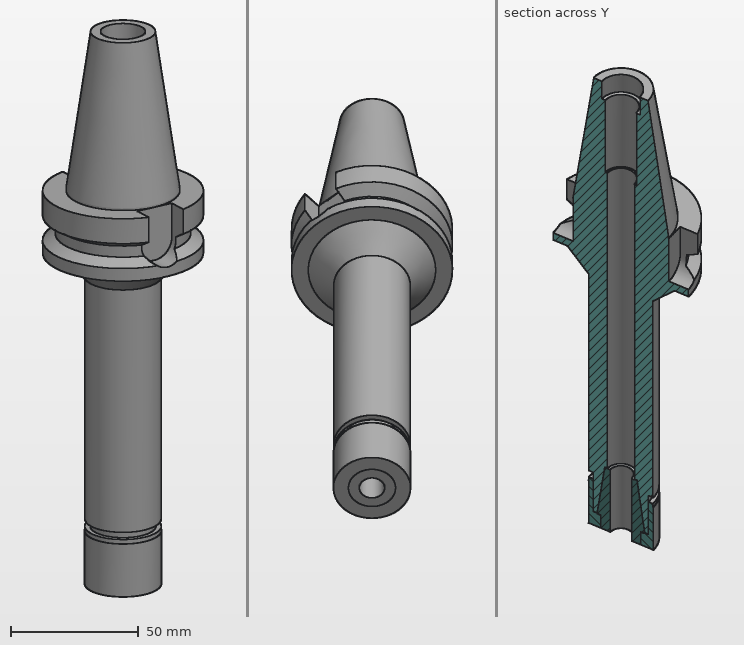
import cadquery as cq
import math

overall_length = 230.5
taper_length = 65.5
flange_gap = 1.0
flange_top = overall_length - taper_length - flange_gap
flange_bottom = 138.0
upper_rim_bottom = 153.7
lower_rim_top = 143.3
shoulder_bottom = 128.0
shank_bottom = 27.0
nut_top = 24.0

gauge_radius = 44.5 / 2
taper_ratio = 7 / 24
small_end_radius = gauge_radius - taper_length * taper_ratio / 2
flange_radius = 63.0 / 2
groove_radius = 26.5
shank_radius = 15.0
shoulder_radius = shank_radius + flange_bottom - shoulder_bottom
nose_radius = 13.0

groove_angle = 30.0
flank_height = (flange_radius - groove_radius) * math.tan(math.radians(groove_angle))

slot_width = 16.1
slot_floor_offset = 22.3
slot_center_height = 150.0

counterbore_radius = 8.8
counterbore_depth = 9.0
thread_radius = 7.1
thread_bottom = 184.3
passage_radius = 6.2

nut_radius = 30.2 / 2
nut_collar_radius = 15.0
nut_collar_height = 1.8
nose_bottom = 7.0

collet_top = 32.3
collet_top_radius = 7.4
collet_angle = 8.0
collet_seat_height = collet_top - nose_bottom
collet_wide_radius = collet_top_radius + collet_seat_height * math.tan(math.radians(collet_angle))
collet_front_radius = 9.2
collet_bore_radius = 10.0 / 2


def revolve_profile(points):
    """Turn an outline of (radius, height) points about the Z axis."""
    return cq.Workplane("XZ").polyline(points).close().revolve(360, (0, 0, 0), (0, 1, 0))


def cylinder(radius, bottom, top):
    """Solid cylinder on the Z axis between two heights."""
    return cq.Workplane("XY").workplane(offset=bottom).circle(radius).extrude(top - bottom)


def drive_slot(side):
    """Cutter for the slot on the +X (side = 1) or -X (side = -1) flank."""
    depth = flange_radius - slot_floor_offset
    straight_height = flange_top - slot_center_height
    face = cq.Workplane("YZ").workplane(offset=side * slot_floor_offset)
    round_end = face.center(0, slot_center_height).circle(slot_width / 2).extrude(side * depth)
    straight = (
        face.center(0, slot_center_height + straight_height / 2)
        .rect(slot_width, straight_height)
        .extrude(side * depth)
    )
    return round_end.union(straight)


def make_holder():
    """Taper, grooved flange, shank and threaded nose, with a bore through all."""
    body = revolve_profile([
        (0, overall_length),
        (small_end_radius, overall_length),
        (gauge_radius, overall_length - taper_length),
        (gauge_radius, flange_top),
        (flange_radius, flange_top),
        (flange_radius, upper_rim_bottom),
        (groove_radius, upper_rim_bottom - flank_height),
        (groove_radius, lower_rim_top + flank_height),
        (flange_radius, lower_rim_top),
        (flange_radius, flange_bottom),
        (shoulder_radius, flange_bottom),
        (shank_radius, shoulder_bottom),
        (shank_radius, shank_bottom),
        (nose_radius, shank_bottom),
        (nose_radius, nose_bottom),
        (0, nose_bottom),
    ])
    for side in (-1, 1):
        body = body.cut(drive_slot(side))

    body = body.cut(cylinder(counterbore_radius, overall_length - counterbore_depth, overall_length))
    body = body.cut(cylinder(thread_radius, thread_bottom, overall_length))
    body = body.cut(cylinder(passage_radius, nose_bottom, overall_length))
    collet_seat = revolve_profile([
        (0, collet_top),
        (collet_top_radius, collet_top),
        (collet_wide_radius, nose_bottom),
        (0, nose_bottom),
    ])
    return body.cut(collet_seat)


def make_nut():
    """Round nut around the nose, with an opening for the front of the collet."""
    collar_bottom = nut_top - nut_collar_height
    body = cylinder(nut_radius, 0, collar_bottom)
    body = body.union(cylinder(nut_collar_radius, collar_bottom, nut_top))
    body = body.cut(cylinder(nose_radius, nose_bottom, nut_top))
    return body.cut(cylinder(collet_front_radius, 0, nose_bottom))


def make_collet():
    """Tapered sleeve seated in the nose and held by the nut."""
    return revolve_profile([
        (collet_bore_radius, 0),
        (collet_front_radius, 0),
        (collet_front_radius, nose_bottom),
        (collet_wide_radius, nose_bottom),
        (collet_top_radius, collet_top),
        (collet_bore_radius, collet_top),
    ])


holder = make_holder()
nut = make_nut()
collet = make_collet()

result = cq.Compound.makeCompound([holder.val(), nut.val(), collet.val()])